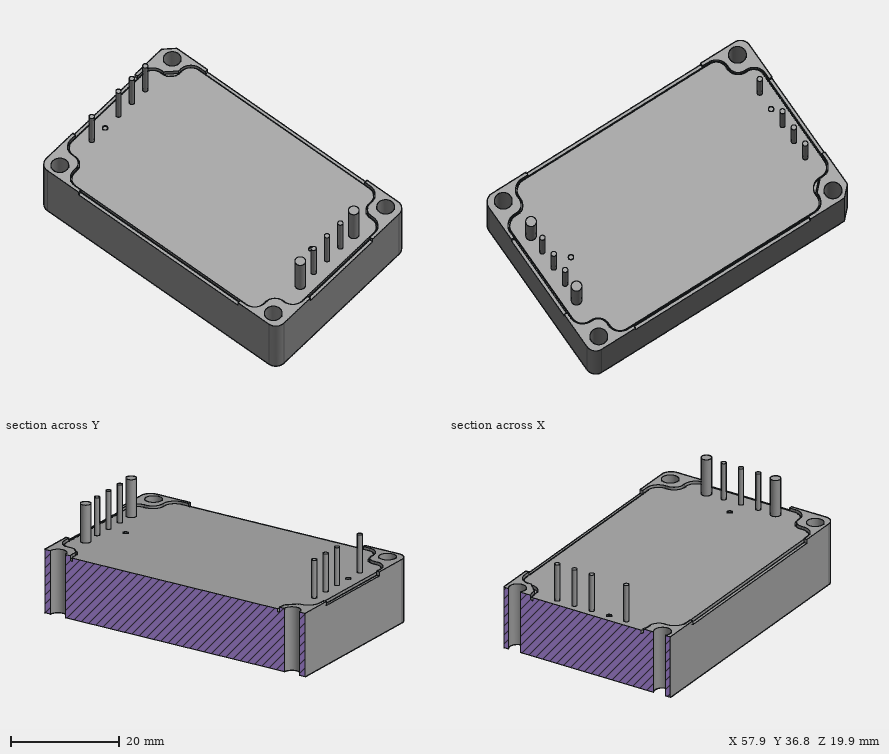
import math

import cadquery as cq

case_length = 57.9
case_width = 36.81
case_height = 12.7
overall_height = 19.85
corner_radius = 2.0
corner_chamfer = 2.0
mount_hole_diameter = 3.3
mount_hole_spacing_x = 52.0
mount_hole_spacing_y = 32.0

rim_width = 0.65
well_half_x = case_length / 2 - rim_width
well_half_y = case_width / 2 - rim_width
well_neck_x = 23.3
well_neck_y = 12.7
well_outer_radius = 2.5
well_inner_radius = 2.0

lid_drop = 0.4
notch_depth = 0.8
groove_width = 0.3
lid_top = case_height - lid_drop
notch_floor = case_height - notch_depth
groove_floor = notch_floor - groove_width
notch_length_x = 38.8
notch_length_y = 17.7

pin_pitch = 3.81
pin_diameter = 1.0
power_pin_diameter = 2.0
pin_row_x = 25.4
input_pin_rows = (-2, 0, 1, 2)
signal_pin_rows = (-1, 0, 1)
power_pin_rows = (-2, 2)
pin_hole_points = ((-pin_row_x, -pin_pitch), (pin_row_x - pin_pitch, 0))
pin_hole_depth = 0.3


def make_case():
    case = cq.Workplane("XY").box(case_length, case_width, case_height, centered=(True, True, False))
    case = case.edges("|Z and (>X or <Y)").fillet(corner_radius)
    case = case.edges("|Z and <X and >Y").chamfer(corner_chamfer)
    return case


def well_outline(inset, level):
    """Closed well outline at the given height, moved inward by inset."""
    half_x = well_half_x - inset
    half_y = well_half_y - inset
    neck_x = well_neck_x - inset
    neck_y = well_neck_y - inset
    convex = well_outer_radius - inset
    concave = well_inner_radius + inset
    quarter = (
        cq.Workplane("XY", origin=(0, 0, level))
        .moveTo(0, half_y)
        .lineTo(neck_x - convex, half_y)
        .radiusArc((neck_x, half_y - convex), convex)
        .lineTo(neck_x, neck_y + concave)
        .radiusArc((neck_x + concave, neck_y), -concave)
        .lineTo(half_x - convex, neck_y)
        .radiusArc((half_x, neck_y - convex), convex)
        .lineTo(half_x, 0)
    )
    return quarter.mirrorX().mirrorY()


def key_outline(inset, level):
    """Triangle that cuts the -X +Y inner corner of the well straight across."""
    corner_x = -(well_neck_x - inset)
    corner_y = well_neck_y - inset
    leg = well_inner_radius + (2 - math.sqrt(2)) * inset
    points = [(corner_x, corner_y), (corner_x - leg, corner_y), (corner_x, corner_y + leg)]
    return cq.Workplane("XY", origin=(0, 0, level)).polyline(points).close()


def sloped_cut(outline):
    """Solid that narrows at 45 degrees from the notch floor to the groove floor."""
    wires = []
    for inset, level in ((groove_width, groove_floor), (0, notch_floor)):
        wires.append(outline(inset, level).wire().val())
    return cq.Workplane(cq.Solid.makeLoft(wires, True))


def cut_well(case):
    for outline in (well_outline, key_outline):
        case = case.cut(outline(0, notch_floor).extrude(notch_depth))
        case = case.cut(sloped_cut(outline))
    return case


def cut_rim_notches(case):
    for length_x, length_y in ((notch_length_x, case_width), (case_length, notch_length_y)):
        notch = cq.Workplane("XY", origin=(0, 0, notch_floor)).rect(length_x, length_y)
        case = case.cut(notch.extrude(notch_depth))
    return case


def cut_mount_holes(case):
    holes = cq.Workplane("XY").rect(mount_hole_spacing_x, mount_hole_spacing_y, forConstruction=True)
    return case.cut(holes.vertices().circle(mount_hole_diameter / 2).extrude(case_height))


def make_lid():
    lid = well_outline(groove_width, groove_floor).extrude(lid_top - groove_floor)
    holes = cq.Workplane("XY", origin=(0, 0, lid_top)).pushPoints(pin_hole_points)
    return lid.cut(holes.circle(pin_diameter / 2).extrude(-pin_hole_depth))


def make_pins(row_x, pitch_steps, diameter):
    points = [(row_x, step * pin_pitch) for step in pitch_steps]
    pins = cq.Workplane("XY", origin=(0, 0, groove_floor)).pushPoints(points)
    return pins.circle(diameter / 2).extrude(overall_height - groove_floor)


result = cut_mount_holes(cut_rim_notches(cut_well(make_case())))
result = result.union(make_lid())
result = result.union(make_pins(-pin_row_x, input_pin_rows, pin_diameter))
result = result.union(make_pins(pin_row_x, signal_pin_rows, pin_diameter))
result = result.union(make_pins(pin_row_x, power_pin_rows, power_pin_diameter))